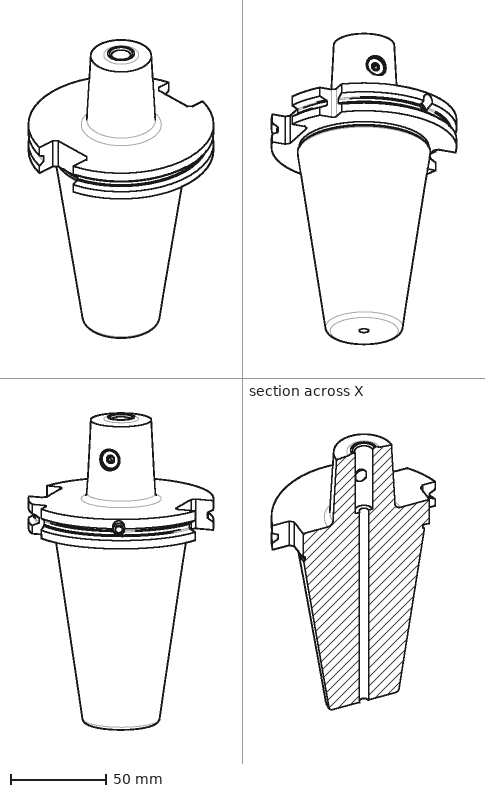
import cadquery as cq
import math


gauge_radius = 34.925
taper_length = 101.75
taper_slope = 7 / 48
small_end_radius = gauge_radius - taper_length * taper_slope
small_end_fillet = 2.5
gauge_land_top = 0.6
neck_radius = 34.2
neck_relief_bottom = 1.5

flange_radius = 48.75
flange_bottom = 3.2
flange_top = 19.1
groove_floor_radius = 45.6
groove_center = 10.85
groove_half_width = 3.2
groove_corner_fillet = 0.8
groove_wall_angle = 30
groove_depth = flange_radius - groove_floor_radius
groove_floor_half = groove_half_width - groove_depth * math.tan(math.radians(groove_wall_angle))

keyway_width = 25.7
keyway_chamfer = 2.0
keyway_floor_front = -35.3
keyway_floor_back = 37.7
notch_x = -29.9
notch_y = 29.9
notch_fillet = 2.0

nose_top = 63.0
nose_root_radius = 18.2
nose_tip_radius = 16.0
nose_edge_z = 61.5
nose_fillet = 3.0
collar_radius = 9.2
collar_z = 62.2
rim_radius = 7.0

bore_radius = 5.0
bore_depth = 40.0
bore_chamfer = 1.0
drill_radius = 2.5

screw_z = 43.4
screw_radius = 4.8
spotface_radius = 5.6
spotface_x = -15.8
screw_head_x = -15.0
screw_tip_radius = 3.5
screw_tip_x = -3.9
screw_shoulder_x = -6.5
hex_across_flats = 3.0
hex_depth = 4.0
hex_countersink_radius = 2.2
hex_countersink_depth = 0.6

port_seat_radius = 3.1
port_radius = 2.0
port_depth = 4.0
port_angle = 200
port_elevation = 23
port_floor_radius = 43.4
port_floor_z = 12.7

selection_margin = 0.1


def cylinder_along_x(radius, x_start, x_end, z):
    """Cylinder parallel to X between two X positions."""
    return cq.Workplane("YZ", origin=(x_start, 0, z)).circle(radius).extrude(x_end - x_start)


def ring_selector(radius, z):
    """Select circular edges around Z at height z, no larger than the given radius."""
    reach = radius + selection_margin
    return cq.selectors.BoxSelector(
        (-reach, -reach, z - selection_margin),
        (reach, reach, z + selection_margin),
        boundingbox=True,
    )


def make_body():
    """Revolved outline of shank, flange and nose."""
    body = (
        cq.Workplane("YZ")
        .moveTo(0, -taper_length)
        .lineTo(small_end_radius, -taper_length)
        .lineTo(gauge_radius, 0)
        .lineTo(gauge_radius, gauge_land_top)
        .lineTo(neck_radius, neck_relief_bottom)
        .lineTo(neck_radius, flange_bottom)
        .lineTo(flange_radius, flange_bottom)
        .lineTo(flange_radius, groove_center - groove_half_width)
        .lineTo(groove_floor_radius, groove_center - groove_floor_half)
        .lineTo(groove_floor_radius, groove_center + groove_floor_half)
        .lineTo(flange_radius, groove_center + groove_half_width)
        .lineTo(flange_radius, flange_top)
        .lineTo(nose_root_radius, flange_top)
        .lineTo(nose_tip_radius, nose_edge_z)
        .lineTo(collar_radius, collar_z)
        .lineTo(rim_radius, nose_top)
        .lineTo(0, nose_top)
        .close()
        .revolve(360, (0, 0, 0), (0, 1, 0))
    )
    body = body.faces("<Z").edges().fillet(small_end_fillet)
    body = body.edges(ring_selector(nose_root_radius, flange_top)).fillet(nose_fillet)
    for side in (-1, 1):
        corner_z = groove_center + side * groove_floor_half
        body = body.edges(ring_selector(groove_floor_radius, corner_z)).fillet(groove_corner_fillet)
    return body


def make_keyway(floor_y):
    """Drive keyway running outward in Y from its floor, with chamfered floor corners."""
    outward = math.copysign(1, floor_y)
    length = flange_radius
    slot = (
        cq.Workplane("XY", origin=(0, floor_y + outward * length / 2, flange_bottom))
        .rect(keyway_width, length)
        .extrude(flange_top - flange_bottom)
    )
    floor = "<Y" if outward > 0 else ">Y"
    return slot.faces(floor).edges("|Z").chamfer(keyway_chamfer)


def make_notch():
    """Orientation notch through the flange in the -X +Y quadrant."""
    return (
        cq.Workplane("XY", origin=(notch_x, notch_y, flange_bottom))
        .rect(-flange_radius, flange_radius, centered=False)
        .extrude(flange_top - flange_bottom)
        .edges("|Z and >X and <Y")
        .fillet(notch_fillet)
    )


def make_bore():
    """Tool bore with a lead-in chamfer, and the coolant drilling through to the small end."""
    bore_bottom = nose_top - bore_depth
    bore = (
        cq.Workplane("XZ")
        .moveTo(0, -taper_length)
        .lineTo(drill_radius, -taper_length)
        .lineTo(drill_radius, bore_bottom)
        .lineTo(bore_radius, bore_bottom)
        .lineTo(bore_radius, nose_top - bore_chamfer)
        .lineTo(bore_radius + bore_chamfer, nose_top)
        .lineTo(0, nose_top)
        .close()
    )
    return bore.revolve(360, (0, 0, 0), (0, 1, 0))


def make_screw_recess():
    """Spotface and mouth above the clamping screw, and the countersunk hexagon in its head."""
    outside_x = -nose_root_radius
    spotface = cylinder_along_x(spotface_radius, outside_x, spotface_x, screw_z)
    mouth = cylinder_along_x(screw_radius, outside_x, screw_head_x, screw_z)
    head_plane = cq.Workplane("YZ", origin=(screw_head_x, 0, screw_z))
    hexagon = head_plane.polygon(6, hex_across_flats / math.cos(math.pi / 6)).extrude(hex_depth)
    countersink = cq.Solid.makeCone(
        hex_countersink_radius,
        hex_across_flats / 2,
        hex_countersink_depth,
        cq.Vector(screw_head_x, 0, screw_z),
        cq.Vector(1, 0, 0),
    )
    return spotface.union(mouth).union(hexagon).union(cq.Workplane(countersink))


def make_screw_tip():
    """End of the clamping screw standing into the bore."""
    return cylinder_along_x(screw_tip_radius, screw_shoulder_x, screw_tip_x, screw_z)


def make_coolant_port():
    """Tilted seat breaking out of the groove and rim, with a smaller blind hole in its floor."""
    angle = math.radians(port_angle)
    rise = math.radians(port_elevation)
    outward = cq.Vector(
        math.cos(angle) * math.cos(rise),
        math.sin(angle) * math.cos(rise),
        math.sin(rise),
    )
    floor_center = cq.Vector(
        port_floor_radius * math.cos(angle),
        port_floor_radius * math.sin(angle),
        port_floor_z,
    )
    seat_length = flange_radius - neck_radius
    seat = cq.Solid.makeCylinder(port_seat_radius, seat_length, floor_center, outward)
    hole = cq.Solid.makeCylinder(port_radius, port_depth, floor_center, outward * -1)
    return cq.Workplane(seat).union(cq.Workplane(hole))


result = make_body()
for keyway_floor in (keyway_floor_front, keyway_floor_back):
    result = result.cut(make_keyway(keyway_floor))
result = result.cut(make_notch())
result = result.cut(make_bore())
result = result.union(make_screw_tip())
result = result.cut(make_screw_recess())
result = result.cut(make_coolant_port())